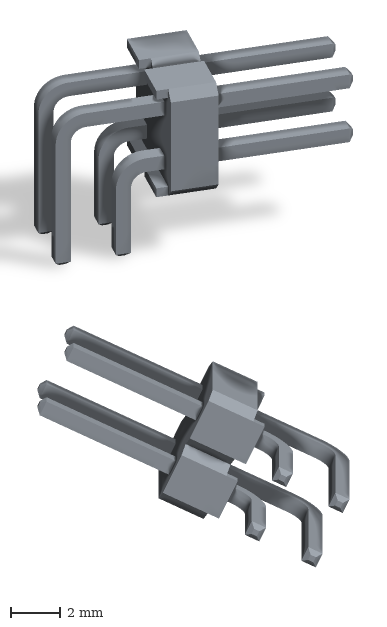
import cadquery as cq


header_width = 5.08
column_count = 2
pitch = header_width / column_count

housing_height = 5.01
housing_depth = 2.02
corner_cut_x = 0.39
corner_cut_z = 0.42

ledge_width = pitch - 2 * corner_cut_x
ledge_height = corner_cut_z
ledge_depth = 0.5

pin_size = 0.64
tail_length = 6.0
upper_pin_length = 12.6
total_height = 8.0
bend_inner_radius = pin_size
bend_outer_radius = bend_inner_radius + pin_size
tip_chamfer = 0.2

row_offset = pitch / 2
leg_tip_z = housing_height / 2 - total_height
upper_leg_y = tail_length - upper_pin_length + pin_size / 2
lower_leg_y = upper_leg_y + pitch


def make_housing_block():
    """Block with its four long edges cut off and two ledges on the front."""
    half_width = pitch / 2
    half_height = housing_height / 2
    flat_x = half_width - corner_cut_x
    flat_z = half_height - corner_cut_z
    block = (
        cq.Workplane("XZ")
        .moveTo(-flat_x, half_height)
        .lineTo(flat_x, half_height)
        .lineTo(half_width, flat_z)
        .lineTo(half_width, -flat_z)
        .lineTo(flat_x, -half_height)
        .lineTo(-flat_x, -half_height)
        .lineTo(-half_width, -flat_z)
        .lineTo(-half_width, flat_z)
        .close()
        .extrude(housing_depth)
    )
    ledge_z = half_height - ledge_height / 2
    ledges = (
        cq.Workplane("XZ", origin=(0, -housing_depth, 0))
        .pushPoints([(0, ledge_z), (0, -ledge_z)])
        .rect(ledge_width, ledge_height)
        .extrude(ledge_depth)
    )
    return block.union(ledges)


def make_pin(row_z, leg_y):
    """Square pin with a straight tail, a rounded bend and a leg pointing down."""
    half_size = pin_size / 2
    top_z = row_z + half_size
    bottom_z = row_z - half_size
    front_y = leg_y - half_size
    back_y = leg_y + half_size
    pin = (
        cq.Workplane("YZ")
        .moveTo(tail_length, top_z)
        .lineTo(front_y, top_z)
        .lineTo(front_y, leg_tip_z)
        .lineTo(back_y, leg_tip_z)
        .lineTo(back_y, bottom_z)
        .lineTo(tail_length, bottom_z)
        .close()
        .extrude(half_size, both=True)
    )
    outer_corner = cq.NearestToPointSelector((0, front_y, top_z))
    inner_corner = cq.NearestToPointSelector((0, back_y, bottom_z))
    pin = pin.edges("|X").edges(outer_corner).fillet(bend_outer_radius)
    pin = pin.edges("|X").edges(inner_corner).fillet(bend_inner_radius)
    pin = pin.faces(">Y").chamfer(tip_chamfer)
    return pin.faces("<Z").chamfer(tip_chamfer)


def make_column(center_x):
    """One body: a housing block joined with its upper and lower pins."""
    column = (
        make_housing_block()
        .union(make_pin(row_offset, upper_leg_y))
        .union(make_pin(-row_offset, lower_leg_y))
    )
    return column.translate((center_x, 0, 0))


columns = []
for index in range(column_count):
    center_x = (index - (column_count - 1) / 2) * pitch
    columns.append(make_column(center_x).solids().val())

result = cq.Compound.makeCompound(columns)